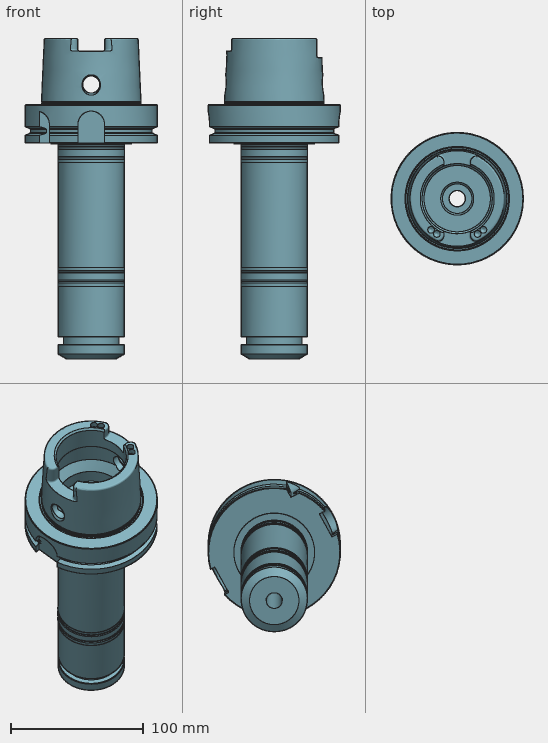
import cadquery as cq
import math

TOP = 50.0
BOTTOM = TOP - 242

SHANK_BASE_R = 75.3 / 2
SHANK_BASE_Z = 2.5
TAPER_SLOPE = 0.045
UNDERCUT_DEPTH = 0.2
UNDERCUT_BEVEL = 0.7
UNDERCUT_FLOOR = 0.7
FACE_RELIEF_R = 39.5
FACE_RELIEF_DEPTH = 0.7
RIM_FILLET = 1.5

FLANGE_R = 100.0 / 2
FLANGE_BOTTOM = -29.0
FLANGE_CHAMFER = 0.5
GROOVE_FLOOR_R = 46.0
GROOVE_MID = -19.8
GROOVE_MOUTH = 6.5
GROOVE_FLOOR = 2.5
GROOVE_BEVEL = 0.7
STEP_R = 30.5
STEP_BOTTOM = -29.8

BODY_R = 50.0 / 2
COLLAR_R = 50.5 / 2
COLLARS = [
    {"top": -30.2, "grooves": (-32.7, -40.2), "bottom": -43.8},
    {"top": -123.0, "grooves": (-126.0, -133.3), "bottom": -137.2},
]
V_WIDTH = 2.2
V_DEPTH = 0.36
BODY_BOTTOM = -175.5

NECK_R = 42.0 / 2
NUT_TOP = -180.8
EDGE_CHAMFER = 0.5
NUT_CONE_ANGLE = 30
NUT_FACE_R = 18.6

BORE_R = 53.0 / 2
BORE_LEAD = 1.5
CLAMP_EDGE = 30.5
CLAMP_R = 63 / 2
CLAMP_WALL_END = 10.2
SEAT_R = 50.0 / 2
SEAT_FLOOR = -7.3
TUBE_R = 22.3 / 2
TUBE_MOUTH_R = 25.0 / 2
TUBE_FLOOR = -19.4
COOLANT_R = 12 / 2

DRIVE_W = 20.0
DRIVE_ROUND_R = 9.0 / 2
DRIVE_ROUND_END = 32.2
DRIVE_FILLET = 1.5
FRONT_DRIVE_DEPTH = 9.7
BACK_DRIVE_DEPTH = 14.5

CHIP_D = 5.0
CHIP_DEPTH = 4.8
CHIP_POINT_ANGLE = 120
CHIP_RADIUS = 30.7
CHIP_ANGLES = (30, 40)

CROSS_D = 12.8
CROSS_Z = 15.2
CROSS_SINK_START = 35.8

KEY_TOP = -4.8
FRONT_KEY_W = 20.0
FRONT_KEY_FLOOR = 44.0
BACK_KEY_W = 22.3
BACK_KEY_FLOOR = 45.0
NOTCH_X = -41.6
NOTCH_FLOOR = 31.2


def shank_radius(z):
    return SHANK_BASE_R - (z - SHANK_BASE_Z) * TAPER_SLOPE


def collar_points(top, grooves, bottom):
    """Outline of a raised collar, from its upper to its lower edge."""
    points = [(BODY_R, top), (COLLAR_R, top)]
    for groove_z in grooves:
        points += [
            (COLLAR_R, groove_z + V_WIDTH / 2),
            (COLLAR_R - V_DEPTH, groove_z),
            (COLLAR_R, groove_z - V_WIDTH / 2),
        ]
    return points + [(COLLAR_R, bottom), (BODY_R, bottom)]


def outer_body():
    """Turned outside shape, from the rim down to the nut face."""
    nut_cone_height = (BODY_R - NUT_FACE_R) * math.tan(math.radians(NUT_CONE_ANGLE))
    undercut_r = SHANK_BASE_R - UNDERCUT_DEPTH
    points = [
        (0, TOP),
        (shank_radius(TOP), TOP),
        (SHANK_BASE_R, SHANK_BASE_Z),
        (undercut_r, SHANK_BASE_Z - UNDERCUT_BEVEL),
        (undercut_r, SHANK_BASE_Z - UNDERCUT_BEVEL - UNDERCUT_FLOOR),
        (SHANK_BASE_R, SHANK_BASE_Z - 2 * UNDERCUT_BEVEL - UNDERCUT_FLOOR),
        (SHANK_BASE_R, -FACE_RELIEF_DEPTH),
        (FACE_RELIEF_R - FACE_RELIEF_DEPTH, -FACE_RELIEF_DEPTH),
        (FACE_RELIEF_R, 0),
        (FLANGE_R - FLANGE_CHAMFER, 0),
        (FLANGE_R, -FLANGE_CHAMFER),
        (FLANGE_R, GROOVE_MID + GROOVE_MOUTH / 2),
        (GROOVE_FLOOR_R + GROOVE_BEVEL, GROOVE_MID + GROOVE_FLOOR / 2 + GROOVE_BEVEL),
        (GROOVE_FLOOR_R, GROOVE_MID + GROOVE_FLOOR / 2),
        (GROOVE_FLOOR_R, GROOVE_MID - GROOVE_FLOOR / 2),
        (GROOVE_FLOOR_R + GROOVE_BEVEL, GROOVE_MID - GROOVE_FLOOR / 2 - GROOVE_BEVEL),
        (FLANGE_R, GROOVE_MID - GROOVE_MOUTH / 2),
        (FLANGE_R, FLANGE_BOTTOM + FLANGE_CHAMFER),
        (FLANGE_R - FLANGE_CHAMFER, FLANGE_BOTTOM),
        (STEP_R, FLANGE_BOTTOM),
        (STEP_R, STEP_BOTTOM),
        (BODY_R, STEP_BOTTOM),
    ]
    for collar in COLLARS:
        points += collar_points(**collar)
    points += [
        (BODY_R, BODY_BOTTOM + EDGE_CHAMFER),
        (BODY_R - EDGE_CHAMFER, BODY_BOTTOM),
        (NECK_R, BODY_BOTTOM),
        (NECK_R, NUT_TOP),
        (BODY_R - EDGE_CHAMFER, NUT_TOP),
        (BODY_R, NUT_TOP - EDGE_CHAMFER),
        (BODY_R, BOTTOM + nut_cone_height),
        (NUT_FACE_R, BOTTOM),
        (0, BOTTOM),
    ]
    return cq.Workplane("XZ").polyline(points).close().revolve(360, (0, 0), (0, 1))


def inner_bore():
    """Cutter for the stepped bore, from the rim to the through coolant hole."""
    points = [
        (0, TOP),
        (BORE_R + BORE_LEAD, TOP),
        (BORE_R, TOP - BORE_LEAD),
        (BORE_R, CLAMP_EDGE),
        (CLAMP_R, CLAMP_EDGE),
        (CLAMP_R, CLAMP_WALL_END),
        (SEAT_R, CLAMP_WALL_END - (CLAMP_R - SEAT_R)),
        (SEAT_R, SEAT_FLOOR),
        (TUBE_MOUTH_R, SEAT_FLOOR),
        (TUBE_R, SEAT_FLOOR - (TUBE_MOUTH_R - TUBE_R)),
        (TUBE_R, TUBE_FLOOR),
        (COOLANT_R, TUBE_FLOOR),
        (COOLANT_R, BOTTOM),
        (0, BOTTOM),
    ]
    return cq.Workplane("XZ").polyline(points).close().revolve(360, (0, 0), (0, 1))


def drive_slot(depth):
    """Cutter for the slot on the -Y side, rounding the wall ends towards the outside of the shank."""
    half = DRIVE_W / 2
    wide = half + DRIVE_ROUND_R
    reach = FLANGE_R
    round_start = DRIVE_ROUND_END - DRIVE_ROUND_R
    mid = DRIVE_ROUND_R * math.sqrt(0.5)
    flank = wide + DRIVE_ROUND_R
    return (
        cq.Workplane("XY", origin=(0, 0, TOP - depth))
        .moveTo(-half, 0)
        .lineTo(half, 0)
        .lineTo(half, -round_start)
        .threePointArc((wide - mid, -round_start - mid), (wide, -DRIVE_ROUND_END))
        .lineTo(flank, -DRIVE_ROUND_END)
        .lineTo(flank, -reach)
        .lineTo(-flank, -reach)
        .lineTo(-flank, -DRIVE_ROUND_END)
        .lineTo(-wide, -DRIVE_ROUND_END)
        .threePointArc((mid - wide, -round_start - mid), (-half, -round_start))
        .close()
        .extrude(2 * depth)
        .faces("<Z")
        .edges()
        .fillet(DRIVE_FILLET)
    )


def keyway(width, floor, x=0):
    """Round-topped keyway on the -Y side, open through the flange underside."""
    r = width / 2
    arc_z = KEY_TOP - r
    return (
        cq.Workplane("XZ", origin=(0, -floor, 0))
        .moveTo(x - r, STEP_BOTTOM)
        .lineTo(x - r, arc_z)
        .threePointArc((x, KEY_TOP), (x + r, arc_z))
        .lineTo(x + r, STEP_BOTTOM)
        .close()
        .extrude(FLANGE_R)
    )


def chip_hole(angle):
    """Drilled hole with a conical end, its angle measured from the -Y axis."""
    r = CHIP_D / 2
    tip = r / math.tan(math.radians(CHIP_POINT_ANGLE / 2))
    points = [(0, 0), (r, 0), (r, -CHIP_DEPTH), (0, -CHIP_DEPTH - tip)]
    drill = cq.Workplane("XZ").polyline(points).close().revolve(360, (0, 0), (0, 1))
    return drill.translate((0, -CHIP_RADIUS, TOP)).rotate((0, 0, 0), (0, 0, 1), angle)


def turned_to_back(cutter):
    """Moves a cutter for the -Y side to the +Y side."""
    return cutter.rotate((0, 0, 0), (0, 0, 1), 180)


def cross_hole():
    """Hole along Y with a 45 degree countersink at each mouth."""
    r = CROSS_D / 2
    reach = SHANK_BASE_R
    sink_r = r + reach - CROSS_SINK_START
    points = [
        (0, -reach),
        (sink_r, -reach),
        (r, -CROSS_SINK_START),
        (r, CROSS_SINK_START),
        (sink_r, reach),
        (0, reach),
    ]
    profile = cq.Workplane("XY").polyline(points).close()
    return profile.revolve(360, (0, 0), (0, 1)).translate((0, 0, CROSS_Z))


result = outer_body()
result = result.cut(drive_slot(FRONT_DRIVE_DEPTH))
result = result.cut(turned_to_back(drive_slot(BACK_DRIVE_DEPTH)))
result = result.faces(">Z").edges().fillet(RIM_FILLET)
result = result.cut(inner_bore())
result = result.cut(cross_hole())
result = result.cut(keyway(FRONT_KEY_W, FRONT_KEY_FLOOR))
result = result.cut(turned_to_back(keyway(BACK_KEY_W, BACK_KEY_FLOOR)))
result = result.cut(keyway(FRONT_KEY_W, NOTCH_FLOOR, NOTCH_X))
for chip_angle in CHIP_ANGLES:
    for side in (-1, 1):
        result = result.cut(chip_hole(side * chip_angle))